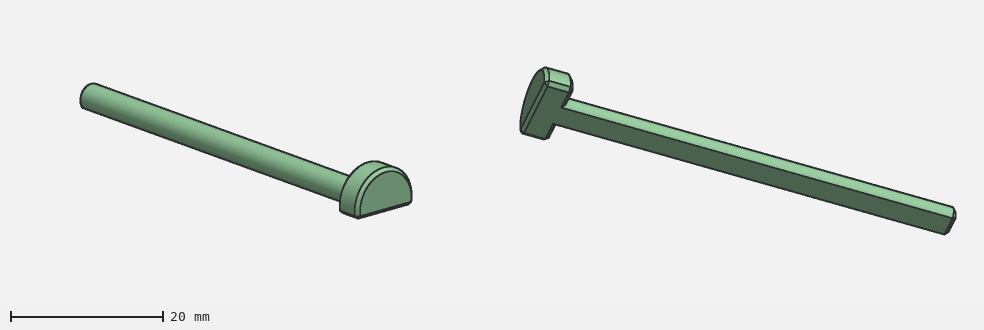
import cadquery as cq

shaft_length = 55.0
shaft_diameter = 3.8
head_length = 4.0
head_diameter = 10.0
axis_height = 1.12
chamfer_size = 0.5


def flat_bottomed_cylinder(diameter, length, start_x):
    """Cylinder along X from start_x, cut flat axis_height below its axis."""
    cylinder = cq.Workplane("YZ", origin=(start_x, 0, 0)).circle(diameter / 2).extrude(length)
    keep_height = axis_height + diameter / 2
    keep_box = cq.Workplane("XY", origin=(start_x, 0, -axis_height)).box(
        length, diameter, keep_height, centered=(False, True, False)
    )
    return cylinder.intersect(keep_box)


def make_shaft():
    """Shaft with its free end chamfered; it runs on into the head across the head's chamfer."""
    shaft = flat_bottomed_cylinder(shaft_diameter, shaft_length + chamfer_size, 0)
    return shaft.faces("<X").edges().chamfer(chamfer_size)


def make_head():
    """Head with every edge chamfered, including the long edges of its flat."""
    head = flat_bottomed_cylinder(head_diameter, head_length, shaft_length)
    return head.edges().chamfer(chamfer_size)


result = make_shaft().union(make_head())